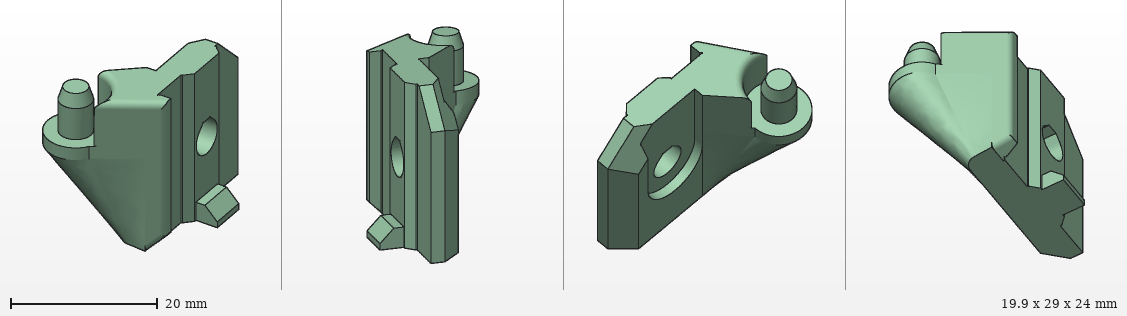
import cadquery as cq
import math

height = 24.0

plate_left = 5.57
plate_right = 10.53
plate_end = 24.48
arm_root = 9.2
end_chamfer = 2.95
top_chamfer = 5.02
skew_slope = 1.42
skew_block = 17.4

pocket_depth = 1.48
pocket_radius = 5.25
pocket_y = arm_root + pocket_radius
pocket_z = height / 2
hole_radius = 2.65
hole_flat = 2.85

key_face = 11.92
key_step = 0.2
key_half_width = 3.05
key_slope = 1.22
tooth_tip = 15.37
tooth_half_width = 2.73
tooth_height = 2.95
tooth_chamfer = 2.0

collar_radius = 4.52
collar_bottom = 14.94
collar_top = 16.95
pin_radius = 4.9 / 2
pin_tip_radius = 1.8
pin_cone_height = 2.03

arm_angle = math.radians(40.5)
face_slope = 0.616
face_start_x = 3.75
face_start_y = -math.sqrt(collar_radius**2 - face_start_x**2)
flange_tip = 12.53
flange_back = 4.45
flange_relief = 0.3
flange_corner = 2.25
support_right = 10.27
foot_round_x = 7.45
foot_radius = foot_round_x - plate_left
foot_front = 1.68
foot_side_end = 6.67
clearance_radius = 4.87
rim_round = 1.02


def outer_face_y(x):
    """Y of the arm's flat outer face at a given X."""
    return face_start_y + face_slope * (x - face_start_x)


def collar_meeting_point():
    """Point where the arm's inner face runs into the collar."""
    dx, dy = math.cos(arm_angle), math.sin(arm_angle)
    along = plate_left * dx + arm_root * dy
    offset = arm_root * dx - plate_left * dy
    step = along - math.sqrt(collar_radius**2 - offset**2)
    return plate_left - step * dx, arm_root - step * dy


inner_meeting = collar_meeting_point()
face_start = (face_start_x, face_start_y)


def make_plate():
    plate = (
        cq.Workplane("XY")
        .moveTo(plate_left, flange_back)
        .lineTo(plate_right, flange_back)
        .lineTo(plate_right, plate_end)
        .lineTo(plate_left + end_chamfer, plate_end)
        .lineTo(plate_left, plate_end - end_chamfer)
        .lineTo(plate_left, arm_root)
        .close()
        .extrude(height)
    )
    straight_chamfer = (
        cq.Workplane("YZ")
        .moveTo(plate_end, height)
        .lineTo(plate_end - top_chamfer, height)
        .lineTo(plate_end, height - top_chamfer)
        .close()
        .extrude(plate_right)
    )
    skew_plane = cq.Plane(
        origin=(plate_left + end_chamfer, plate_end, height - top_chamfer),
        xDir=(0, 1, -1),
        normal=(-skew_slope, 1, 1),
    )
    skew_chamfer = cq.Workplane(skew_plane).rect(skew_block, skew_block).extrude(skew_block)
    return plate.cut(straight_chamfer).cut(skew_chamfer)


def make_key():
    outer_half = key_half_width
    root_half = key_half_width + key_slope
    key = (
        cq.Workplane("XY")
        .polyline([
            (plate_right, pocket_y - root_half),
            (plate_right + key_step, pocket_y - root_half),
            (key_face, pocket_y - outer_half),
            (key_face, pocket_y + outer_half),
            (plate_right + key_step, pocket_y + root_half),
            (plate_right, pocket_y + root_half),
        ])
        .close()
        .extrude(height)
    )
    tooth = (
        cq.Workplane("XZ", origin=(0, pocket_y, 0))
        .moveTo(plate_right, 0)
        .lineTo(tooth_tip, 0)
        .lineTo(tooth_tip, tooth_height - tooth_chamfer)
        .lineTo(tooth_tip - tooth_chamfer, tooth_height)
        .lineTo(plate_right, tooth_height)
        .close()
        .extrude(tooth_half_width, both=True)
    )
    return key.union(tooth)


def make_upper_arm():
    """Upper arm and flange, rounded along the rim of the outer face and hollowed around the pin."""
    arm = (
        cq.Workplane("XY", origin=(0, 0, collar_bottom))
        .moveTo(plate_left, arm_root)
        .lineTo(*inner_meeting)
        .lineTo(*face_start)
        .lineTo(support_right, outer_face_y(support_right))
        .lineTo(support_right, arm_root)
        .close()
        .extrude(height - collar_bottom)
    )
    flange = (
        cq.Workplane("XY")
        .moveTo(support_right, outer_face_y(support_right))
        .lineTo(flange_tip, outer_face_y(flange_tip))
        .lineTo(flange_tip, flange_back)
        .lineTo(plate_right + flange_relief, flange_back)
        .lineTo(plate_right, flange_back - flange_relief)
        .lineTo(plate_right, arm_root)
        .lineTo(support_right, arm_root)
        .close()
        .extrude(height)
    )
    corner = (
        cq.Workplane("XZ", origin=(0, arm_root, 0))
        .moveTo(flange_tip, 0)
        .lineTo(flange_tip - flange_corner, 0)
        .lineTo(flange_tip, flange_corner)
        .close()
        .extrude(2 * arm_root)
    )
    body = arm.union(flange).cut(corner).clean()
    top_middle = (face_start_x + flange_tip) / 2
    corner_middle = flange_tip - flange_corner / 2
    rim_points = [
        (top_middle, outer_face_y(top_middle), height),
        (flange_tip, outer_face_y(flange_tip), height / 2),
        (corner_middle, outer_face_y(corner_middle), flange_corner / 2),
    ]
    rim = cq.Workplane("XY")
    for point in rim_points:
        rim = rim.add(body.edges(cq.selectors.NearestToPointSelector(point)))
    body = cq.Workplane("XY").add(body.val().fillet(rim_round, rim.vals()))
    clearance = (
        cq.Workplane("XZ")
        .moveTo(0, collar_top)
        .lineTo(clearance_radius, collar_top)
        .lineTo(clearance_radius, height - rim_round)
        .radiusArc((clearance_radius + rim_round, height), rim_round)
        .lineTo(0, height)
        .close()
        .revolve(360, (0, 0, 0), (0, 1, 0))
    )
    return body.cut(clearance)


def make_support():
    """Lower arm blending the rounded foot into the collar."""
    foot_centre = (foot_round_x, foot_front + foot_radius)
    diagonal = foot_radius * math.sqrt(0.5)
    return (
        cq.Workplane("XY")
        .moveTo(plate_left, arm_root)
        .lineTo(plate_left, foot_side_end)
        .lineTo(plate_left, foot_centre[1])
        .threePointArc(
            (foot_centre[0] - diagonal, foot_centre[1] - diagonal),
            (foot_round_x, foot_front),
        )
        .lineTo(support_right, outer_face_y(support_right))
        .lineTo(support_right, arm_root)
        .close()
        .workplane(offset=collar_bottom)
        .moveTo(plate_left, arm_root)
        .lineTo(*inner_meeting)
        .threePointArc(
            (-collar_radius * math.sqrt(0.5), collar_radius * math.sqrt(0.5)),
            (-collar_radius, 0),
        )
        .threePointArc((0, -collar_radius), face_start)
        .lineTo(support_right, outer_face_y(support_right))
        .lineTo(support_right, arm_root)
        .close()
        .loft(ruled=True)
    )


def make_pin():
    return (
        cq.Workplane("XZ")
        .moveTo(0, collar_bottom)
        .lineTo(collar_radius, collar_bottom)
        .lineTo(collar_radius, collar_top)
        .lineTo(pin_radius, collar_top)
        .lineTo(pin_radius, height - pin_cone_height)
        .lineTo(pin_tip_radius, height)
        .lineTo(0, height)
        .close()
        .revolve(360, (0, 0, 0), (0, 1, 0))
    )


def make_pocket():
    """Round-bottomed recess in the -X face, open at the top."""
    return (
        cq.Workplane("YZ", origin=(plate_left, 0, 0))
        .moveTo(pocket_y - pocket_radius, height)
        .lineTo(pocket_y - pocket_radius, pocket_z)
        .threePointArc((pocket_y, pocket_z - pocket_radius), (pocket_y + pocket_radius, pocket_z))
        .lineTo(pocket_y + pocket_radius, height)
        .close()
        .extrude(pocket_depth)
    )


def make_hole():
    """Through hole with a truncated teardrop roof."""
    shoulder = hole_radius * math.sqrt(0.5)
    flat_half = hole_radius * math.sqrt(2) - hole_flat
    return (
        cq.Workplane("YZ", origin=(plate_left, pocket_y, pocket_z))
        .moveTo(-shoulder, shoulder)
        .threePointArc((0, -hole_radius), (shoulder, shoulder))
        .lineTo(flat_half, hole_flat)
        .lineTo(-flat_half, hole_flat)
        .close()
        .extrude(key_face - plate_left)
    )


result = (
    make_plate()
    .cut(make_pocket())
    .union(make_key())
    .union(make_upper_arm())
    .union(make_support())
    .union(make_pin())
    .cut(make_hole())
)